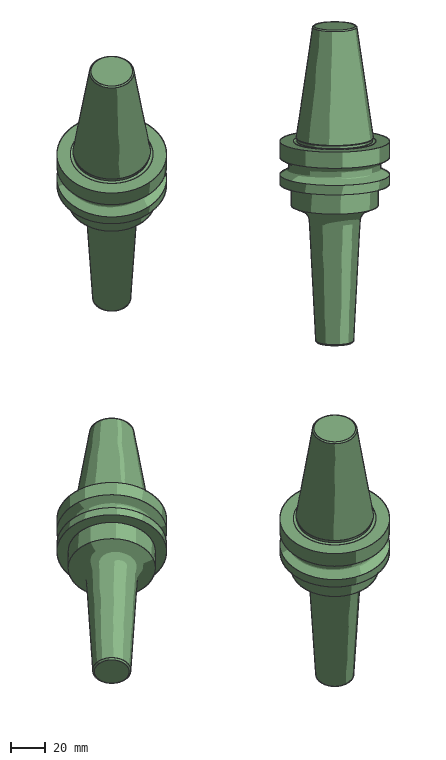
import cadquery as cq
import math

total_length = 185.4

taper_length = 65.5
taper_large_radius = 22.2
taper_small_radius = taper_large_radius - taper_length * 7 / 48
taper_top_chamfer = 0.7
taper_base_z = total_length - taper_length

neck_chamfer = 0.5
neck_radius = 21.7
relief_width = 2.0
relief_depth = 0.5

flange_radius = 31.5
flange_top_z = 118.0
flange_thickness = 25.0
flange_bottom_z = flange_top_z - flange_thickness
groove_floor_radius = 26.5
groove_center_z = 103.5
groove_mouth_width = 10.0
groove_wall_angle = math.radians(30)
groove_wall_height = (flange_radius - groove_floor_radius) * math.tan(groove_wall_angle)
groove_floor_width = groove_mouth_width - 2 * groove_wall_height
groove_floor_fillet = 1.3
fillet_setback = groove_floor_fillet * math.tan((math.pi / 2 - groove_wall_angle) / 2)
groove_flat_half = groove_floor_width / 2 - fillet_setback
groove_wall_end_radius = groove_floor_radius + fillet_setback * math.cos(groove_wall_angle)
groove_wall_end_half = groove_floor_width / 2 + fillet_setback * math.sin(groove_wall_angle)

collar_radius = 25.0
collar_bottom_z = 80.3
fillet_top_radius = 19.7
fillet_top_z = 77.9
fillet_bottom_z = 71.2

nose_tip_radius = 11.0
nose_taper_angle = math.radians(3)
nose_tip_chamfer = 1.0


def nose_radius(z):
    return nose_tip_radius + z * math.tan(nose_taper_angle)


def make_profile():
    """Half section in the XZ plane, traced from the nose tip up to the taper end."""
    nose = (
        cq.Workplane("XZ")
        .lineTo(nose_tip_radius - nose_tip_chamfer, 0)
        .lineTo(nose_radius(nose_tip_chamfer), nose_tip_chamfer)
        .lineTo(nose_radius(fillet_bottom_z), fillet_bottom_z)
        .tangentArcPoint((fillet_top_radius, fillet_top_z), relative=False)
        .lineTo(collar_radius, collar_bottom_z)
        .lineTo(collar_radius, flange_bottom_z)
    )
    flange = (
        nose.lineTo(flange_radius, flange_bottom_z)
        .lineTo(flange_radius, groove_center_z - groove_mouth_width / 2)
        .lineTo(groove_wall_end_radius, groove_center_z - groove_wall_end_half)
        .tangentArcPoint((groove_floor_radius, groove_center_z - groove_flat_half), relative=False)
        .lineTo(groove_floor_radius, groove_center_z + groove_flat_half)
        .tangentArcPoint((groove_wall_end_radius, groove_center_z + groove_wall_end_half), relative=False)
        .lineTo(flange_radius, groove_center_z + groove_mouth_width / 2)
        .lineTo(flange_radius, flange_top_z)
    )
    neck = (
        flange.lineTo(neck_radius + relief_width, flange_top_z)
        .threePointArc(
            (neck_radius + relief_width / 2, flange_top_z - relief_depth),
            (neck_radius, flange_top_z),
        )
        .lineTo(neck_radius, taper_base_z - neck_chamfer)
        .lineTo(taper_large_radius, taper_base_z)
    )
    chamfer_base_z = total_length - taper_top_chamfer
    chamfer_base_radius = taper_small_radius + taper_top_chamfer * 7 / 48
    return (
        neck.lineTo(chamfer_base_radius, chamfer_base_z)
        .lineTo(taper_small_radius - taper_top_chamfer, total_length)
        .lineTo(0, total_length)
        .close()
    )


result = make_profile().revolve(360, (0, 0, 0), (0, 1, 0))